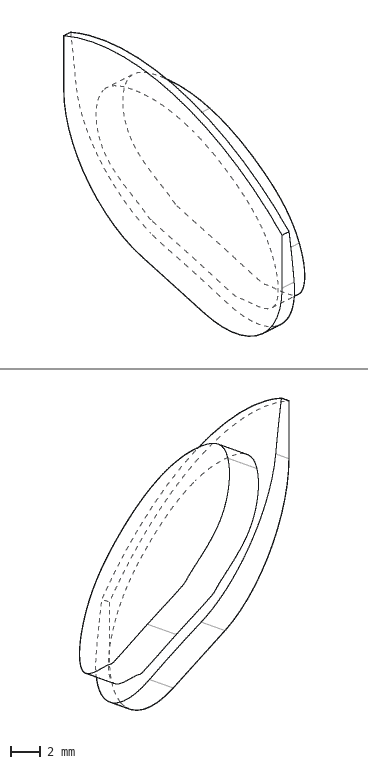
import cadquery as cq
import math

width = 25.1
height = 17.88
corner_radius = 8.95
arch_radius = 22.2
axis_x = -0.13
arch_center_z = height - arch_radius

dome_radius = 179.8
rim_thickness = 0.6
boss_height = 2.29
dome_center_y = rim_thickness - math.sqrt(dome_radius**2 - arch_radius**2)

boss_top = (0.0, 14.65)
boss_shoulder = (5.78, 13.35)
boss_side = (10.02, 9.3)
boss_side_slope = (0.35, -1.0)
boss_lower_points = [(10.45, 6.78), (9.25, 3.65), (5.78, 1.83)]
boss_bottom = (0.0, 1.35)

blank_depth = 7.53


def arch_height(x):
    """Z of the arched top edge at a given X."""
    return arch_center_z + math.sqrt(arch_radius**2 - (x - axis_x) ** 2)


def dome(radius):
    """Ball whose +Y cap forms a domed back face."""
    return cq.Workplane("XY").sphere(radius).translate((axis_x, dome_center_y, arch_center_z))


def extrude_back(outline):
    """Extrude an XZ outline from the front face toward +Y."""
    return outline.extrude(-blank_depth)


def make_plate():
    half = width / 2
    flat_half = half - corner_radius
    bend = corner_radius * (1 - math.sqrt(0.5))
    outline = (
        cq.Workplane("XZ")
        .moveTo(-flat_half, 0)
        .lineTo(flat_half, 0)
        .threePointArc((half - bend, bend), (half, corner_radius))
        .lineTo(half, arch_height(half))
        .threePointArc((axis_x, height), (-half, arch_height(-half)))
        .lineTo(-half, corner_radius)
        .threePointArc((bend - half, bend), (-flat_half, 0))
        .close()
    )
    return extrude_back(outline).intersect(dome(dome_radius))


def make_boss():
    lower_curve = [boss_side] + boss_lower_points + [boss_bottom]
    outline = (
        cq.Workplane("XZ", origin=(axis_x, 0, 0))
        .moveTo(*boss_top)
        .spline([boss_top, boss_shoulder, boss_side], tangents=[(1, 0), boss_side_slope])
        .spline(lower_curve, tangents=[boss_side_slope, (-1, 0)])
        .mirrorY()
    )
    return extrude_back(outline).intersect(dome(dome_radius + boss_height))


result = make_plate().union(make_boss())